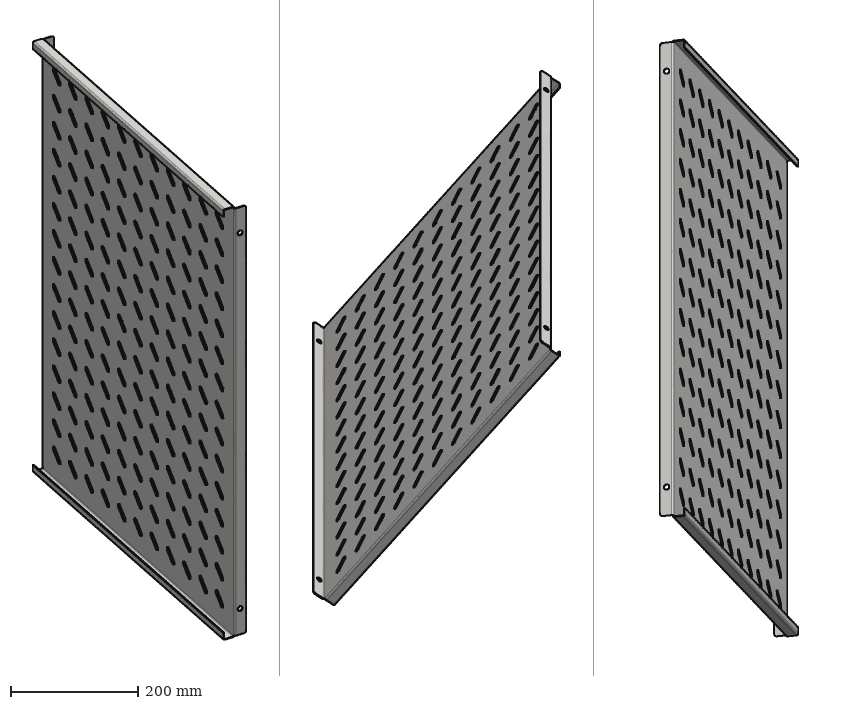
import cadquery as cq

width = 592.0
depth = 41.0
height = 797.0

sheet = 2.0
outer_radius = 3.0
inner_radius = outer_radius - sheet
flange_depth = 22.0
flange_corner = 5.0
return_lip = 13.5

columns = 11
rows = 15
pattern_height = 700.5
slot_pitch = pattern_height / (rows - 1)
slot_length = 30.0
slot_width = 9.0
slot_angle = -45

hole_diameter = 9.0
hole_edge_distance = 11.0
hole_spacing = 695.0

rear = depth / 2
front = -depth / 2
panel_front = rear - flange_depth
panel_rear = panel_front + sheet

flange_height = height - 2 * outer_radius
channel_length = width - 2 * outer_radius


def block(size_x, y_start, y_end, size_z):
    """Box centred in X and Z that spans the given range of Y."""
    box = cq.Workplane("XY").box(size_x, y_end - y_start, size_z)
    return box.translate((0, (y_start + y_end) / 2, 0))


def make_panel_with_flanges():
    """Panel and two side flanges: a U section along Z, open to the rear."""
    outside = block(width, panel_front, rear, flange_height)
    outside = outside.edges("|Z and <Y").fillet(outer_radius)
    outside = outside.edges("|X and >Y").fillet(flange_corner)
    inside = block(width - 2 * sheet, panel_rear, rear + sheet, height)
    inside = inside.edges("|Z and <Y").fillet(inner_radius)
    return outside.cut(inside)


def make_panel_with_channels():
    """Panel with its top and bottom edges folded forward and returned: a C section along X."""
    outside = block(channel_length, front, panel_rear, height)
    outside = outside.edges("|X").fillet(outer_radius)
    inside = block(width, front + sheet, panel_front, height - 2 * sheet)
    inside = inside.edges("|X").fillet(inner_radius)
    opening = block(width, front - sheet, panel_front, height - 2 * return_lip)
    return outside.cut(inside).cut(opening)


def make_slots():
    """Grid of diagonal slots through the panel."""
    return (
        cq.Workplane("XZ", origin=(0, rear, 0))
        .rarray(slot_pitch, slot_pitch, columns, rows)
        .slot2D(slot_length, slot_width, slot_angle)
        .extrude(depth)
    )


def make_mounting_holes():
    """Two holes near the ends of the flanges, drilled through both flanges."""
    return (
        cq.Workplane("YZ", origin=(-width / 2, rear - hole_edge_distance, 0))
        .rarray(8, hole_spacing, 1, 2)
        .circle(hole_diameter / 2)
        .extrude(width)
    )


result = (
    make_panel_with_flanges()
    .union(make_panel_with_channels())
    .cut(make_slots())
    .cut(make_mounting_holes())
)